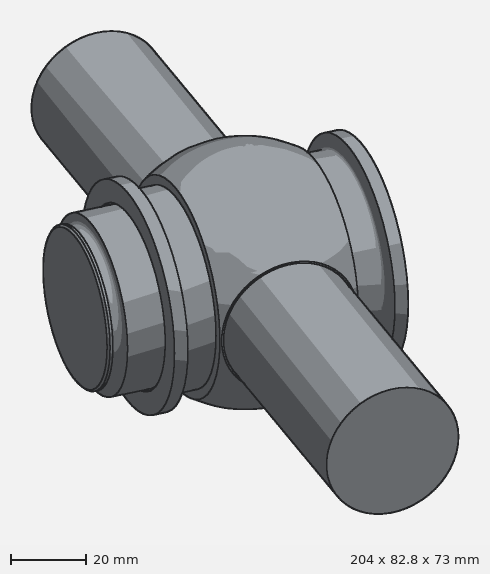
import cadquery as cq
import math

TUBE_LENGTH = 204.0
TUBE_DIAMETER = 38.1

BALL_DIAMETER = 73.0
BALL_WIDTH_X = 61.5
BALL_WIDTH_Y = 40.0

NECK_DIAMETER = 55.7
FLANGE_DIAMETER = 64.2
FLANGE_SPAN = 67.5
FLANGE_RIM_WIDTH = 3.9
FLANGE_TAPER_ANGLE = 15.0
FLANGE_ROOT_RADIUS = 1.2

BODY_LENGTH_Y = 82.8
SPIGOT_DIAMETER = 50.2
SPIGOT_LENGTH = 10.6
CLEARANCE_DIAMETER = 51.4
CLEARANCE_DEPTH = 1.0
GROOVE_START_DIAMETER = 48.1
GROOVE_DIAMETER = 44.0
GROOVE_OFFSET = 1.8
LIP_DIAMETER = 45.5
LIP_WIDTH = 1.5
LIP_CHAMFER = 0.6


def make_ball():
    flats = cq.Workplane("XY").box(BALL_WIDTH_X, BALL_WIDTH_Y, BALL_DIAMETER)
    return cq.Workplane("XY").sphere(BALL_DIAMETER / 2).intersect(flats)


def make_tube():
    return cq.Workplane("YZ").circle(TUBE_DIAMETER / 2).extrude(TUBE_LENGTH / 2, both=True)


def make_flanged_neck():
    """Revolve the neck and flange on the +Y side."""
    neck_radius = NECK_DIAMETER / 2
    flange_radius = FLANGE_DIAMETER / 2
    face_y = FLANGE_SPAN / 2
    rim_y = face_y - FLANGE_RIM_WIDTH
    taper = math.radians(FLANGE_TAPER_ANGLE)
    taper_end_y = rim_y - (flange_radius - neck_radius) * math.tan(taper)

    tangent_length = FLANGE_ROOT_RADIUS * math.tan((math.pi / 2 - taper) / 2)
    neck_tangent = (neck_radius, taper_end_y - tangent_length)
    taper_tangent = (
        neck_radius + tangent_length * math.cos(taper),
        taper_end_y + tangent_length * math.sin(taper),
    )
    profile = (
        cq.Workplane("XY")
        .lineTo(neck_radius, 0)
        .lineTo(*neck_tangent)
        .tangentArcPoint(taper_tangent, relative=False)
        .lineTo(flange_radius, rim_y)
        .lineTo(flange_radius, face_y)
        .lineTo(0, face_y)
        .close()
    )
    return profile.revolve(360, (0, 0, 0), (0, 1, 0))


def make_spigot():
    """Revolve the spigot: plain shoulder, concave groove and chamfered end lip."""
    lip_radius = LIP_DIAMETER / 2
    shoulder_y = -FLANGE_SPAN / 2 - SPIGOT_LENGTH
    end_y = FLANGE_SPAN / 2 - BODY_LENGTH_Y
    groove_y = shoulder_y - GROOVE_OFFSET
    lip_y = end_y + LIP_WIDTH
    profile = (
        cq.Workplane("XY")
        .lineTo(SPIGOT_DIAMETER / 2, 0)
        .lineTo(SPIGOT_DIAMETER / 2, shoulder_y)
        .lineTo(GROOVE_START_DIAMETER / 2, shoulder_y)
        .threePointArc((GROOVE_DIAMETER / 2, groove_y), (lip_radius, lip_y))
        .lineTo(lip_radius, end_y + LIP_CHAMFER)
        .lineTo(lip_radius - LIP_CHAMFER, end_y)
        .lineTo(0, end_y)
        .close()
    )
    return profile.revolve(360, (0, 0, 0), (0, 1, 0))


def make_clearance_ring():
    """Shallow annular gap cut into the -Y flange face around the spigot."""
    face = cq.Workplane("XZ", origin=(0, -FLANGE_SPAN / 2, 0))
    return face.circle(CLEARANCE_DIAMETER / 2).circle(SPIGOT_DIAMETER / 2).extrude(-CLEARANCE_DEPTH)


flanged_neck = make_flanged_neck()
result = (
    make_ball()
    .union(make_tube())
    .union(flanged_neck)
    .union(flanged_neck.mirror("XZ"))
    .union(make_spigot())
    .cut(make_clearance_ring())
)